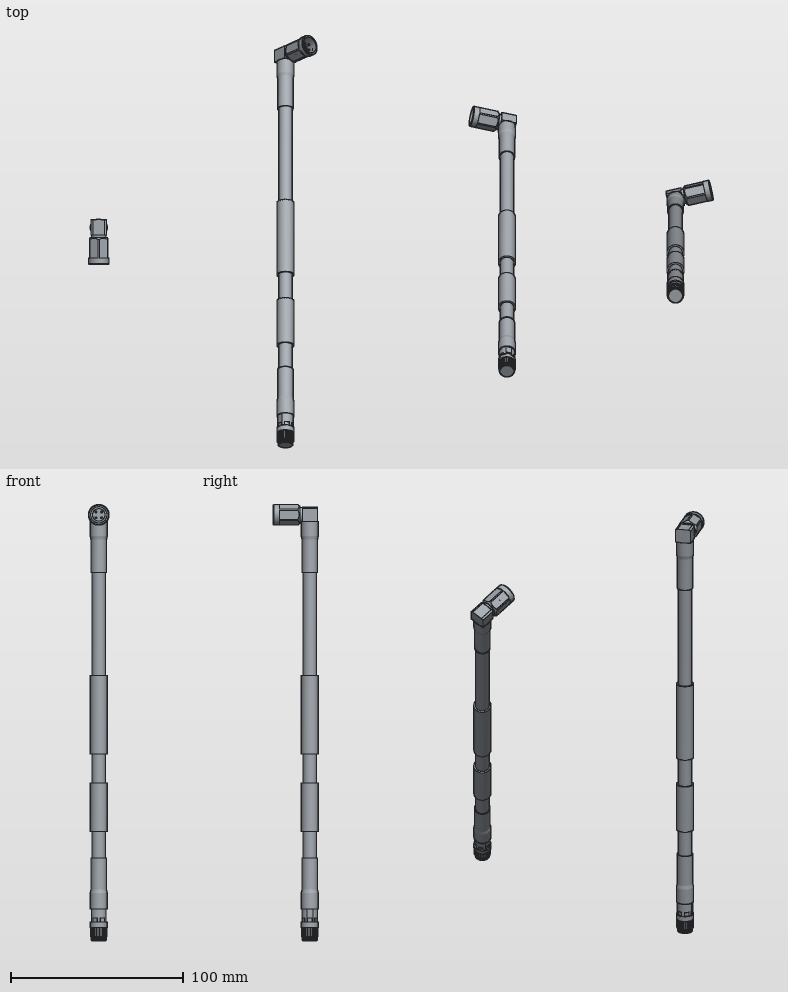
import cadquery as cq
import math

STEP_TOP = 2.6
KNURL_TOP = 7.6
RING_TOP = 10.8
POCKET_TOP = 13.1
LOWER_COLLAR_BOTTOM = 18.4
LOWER_COLLAR_TOP = 27.6
LOWER_BOOT_BOTTOM = 29.6
LOWER_BOOT_TOP = 48.0

SHORT_SLEEVE_BOTTOM = 63.2
SHORT_SLEEVE_LENGTH = 28.1
LONG_SLEEVE_BOTTOM = 107.9
LONG_SLEEVE_LENGTH = 45.6

OVERALL_HEIGHT = 252.37
NUT_DIAMETER = 12.0
NUT_AXIS_HEIGHT = OVERALL_HEIGHT - NUT_DIAMETER / 2
UPPER_BOOT_BOTTOM = 213.0
UPPER_BOOT_TOP = 232.1
UPPER_COLLAR_BOTTOM = 234.1
UPPER_COLLAR_TOP = 242.6
BLOCK_TOP = 250.8

CABLE_DIAMETER = 8.0
BOOT_DIAMETER = 9.1
COLLAR_DIAMETER = 10.0
SLEEVE_DIAMETER = 10.0

NECK_DIAMETER = 9.1
TIP_DIAMETER = 8.8
TIP_CHAMFER = 0.4
WIDTH_ACROSS_WRENCH_FLATS = 8.4
POCKET_COUNT = 6
POCKET_WIDTH = 2.7
POCKET_DEPTH = 0.5
KNURL_DIAMETER = 9.7
KNURL_COUNT = 16
KNURL_WIDTH = 0.9
KNURL_DEPTH = 0.5
TIP_GROOVE_WIDTH = 0.4
TIP_GROOVE_DEPTH = 0.4
TIP_GROOVE_HEIGHTS = (0.9, 1.8)

BLOCK_WIDTH = 9.1
BLOCK_CHAMFER_WIDTH = 1.2
BLOCK_CHAMFER_HEIGHT = 0.7
BLOCK_FRONT = 4.2
OVERALL_DEPTH = 26.23
NUT_FRONT = OVERALL_DEPTH - SLEEVE_DIAMETER / 2
NUT_BACK = 5.6
NUT_BACK_CHAMFER = 1.2
NUT_FRONT_CHAMFER = 0.4
NUT_RING_LENGTH = 3.6
HEX_ACROSS_FLATS = 10.8
NUT_NECK_DIAMETER = 8.6
NUT_BORE_DIAMETER = 9.4
NUT_BORE_DEPTH = 9.0
INSERT_DIAMETER = 7.2
INSERT_LENGTH = 2.5
PIN_COUNT = 4
PIN_CIRCLE_DIAMETER = 4.6
PIN_DIAMETER = 1.0
PIN_LENGTH = 4.0
PIN_START_ANGLE = 45


def cylinder(diameter, bottom, top):
    """Cylinder on the Z axis between two heights."""
    return cq.Workplane("XY").workplane(offset=bottom).circle(diameter / 2).extrude(top - bottom)


def cone(bottom_diameter, top_diameter, bottom, top):
    """Tapered shoulder on the Z axis between two heights."""
    return cq.Workplane(
        cq.Solid.makeCone(bottom_diameter / 2, top_diameter / 2, top - bottom, cq.Vector(0, 0, bottom))
    )


def front_workplane(distance):
    """Plane across the nut axis, facing -Y, at a distance in front of the cable axis."""
    return cq.Workplane("XZ", origin=(0, -distance, NUT_AXIS_HEIGHT))


def ring_cutters(count, radius, depth, width, bottom, top):
    """Boxes spaced evenly round the Z axis that cut inwards from a radius."""
    cutters = []
    for index in range(count):
        cutter = (
            cq.Workplane("XY")
            .box(2 * depth, width, top - bottom, centered=(True, True, False))
            .translate((radius, 0, bottom))
            .rotate((0, 0, 0), (0, 0, 1), index * 360 / count)
        )
        cutters.append(cutter)
    return cutters


def make_cable():
    return cylinder(CABLE_DIAMETER, LOWER_BOOT_TOP, UPPER_BOOT_BOTTOM)


def make_sleeve(bottom, length):
    return (
        cq.Workplane("XY")
        .workplane(offset=bottom)
        .circle(SLEEVE_DIAMETER / 2)
        .circle(CABLE_DIAMETER / 2)
        .extrude(length)
    )


def make_straight_neck():
    """Neck below the collar, with two wrench flats and a row of small pockets."""
    neck = cylinder(NECK_DIAMETER, RING_TOP, LOWER_COLLAR_BOTTOM)
    flats = (
        cq.Workplane("XY")
        .workplane(offset=RING_TOP)
        .rect(WIDTH_ACROSS_WRENCH_FLATS, NECK_DIAMETER)
        .extrude(LOWER_COLLAR_BOTTOM - RING_TOP)
    )
    pockets = ring_cutters(
        POCKET_COUNT, NECK_DIAMETER / 2, POCKET_DEPTH, POCKET_WIDTH, RING_TOP, POCKET_TOP
    )
    neck = neck.intersect(flats)
    for pocket in pockets:
        neck = neck.cut(pocket)
    return neck


def make_knurled_ring():
    """Coupling ring: plain band on top, axial grooves below."""
    ring = cylinder(KNURL_DIAMETER, STEP_TOP, KNURL_TOP).union(
        cylinder(COLLAR_DIAMETER, KNURL_TOP, RING_TOP)
    )
    grooves = ring_cutters(
        KNURL_COUNT, KNURL_DIAMETER / 2, KNURL_DEPTH, KNURL_WIDTH, STEP_TOP, KNURL_TOP
    )
    for groove in grooves:
        ring = ring.cut(groove)
    return ring


def make_tip():
    """Grooved end of the straight connector."""
    tip = cylinder(TIP_DIAMETER, 0, STEP_TOP).faces("<Z").edges().chamfer(TIP_CHAMFER)
    for height in TIP_GROOVE_HEIGHTS:
        groove = cylinder(TIP_DIAMETER, height, height + TIP_GROOVE_WIDTH).cut(
            cylinder(TIP_DIAMETER - 2 * TIP_GROOVE_DEPTH, height, height + TIP_GROOVE_WIDTH)
        )
        tip = tip.cut(groove)
    return tip


def make_straight_connector():
    return (
        cylinder(BOOT_DIAMETER, LOWER_BOOT_BOTTOM, LOWER_BOOT_TOP)
        .union(cone(COLLAR_DIAMETER, BOOT_DIAMETER, LOWER_COLLAR_TOP, LOWER_BOOT_BOTTOM))
        .union(cylinder(COLLAR_DIAMETER, LOWER_COLLAR_BOTTOM, LOWER_COLLAR_TOP))
        .union(make_straight_neck())
        .union(make_knurled_ring())
        .union(make_tip())
    )


def make_elbow_block():
    """Block whose two upper side edges are chamfered, drawn as an outline across Y."""
    half_width = BLOCK_WIDTH / 2
    half_top = half_width - BLOCK_CHAMFER_WIDTH
    chamfer_bottom = BLOCK_TOP - BLOCK_CHAMFER_HEIGHT
    return (
        cq.Workplane("XZ", origin=(0, BLOCK_WIDTH / 2, 0))
        .moveTo(-half_width, UPPER_COLLAR_TOP)
        .lineTo(half_width, UPPER_COLLAR_TOP)
        .lineTo(half_width, chamfer_bottom)
        .lineTo(half_top, BLOCK_TOP)
        .lineTo(-half_top, BLOCK_TOP)
        .lineTo(-half_width, chamfer_bottom)
        .close()
        .extrude(BLOCK_WIDTH / 2 + BLOCK_FRONT)
    )


def make_nut():
    """Screw nut: hexagon with rounded corners, then a round ring around the open front."""
    length = NUT_FRONT - NUT_BACK
    envelope = front_workplane(NUT_BACK).circle(NUT_DIAMETER / 2).extrude(length)
    envelope = envelope.faces(">Y").edges().chamfer(NUT_BACK_CHAMFER)
    across_corners = HEX_ACROSS_FLATS / math.cos(math.pi / 6)
    hexagon = (
        front_workplane(NUT_BACK)
        .transformed(rotate=(0, 0, 90))
        .polygon(6, across_corners)
        .extrude(length - NUT_RING_LENGTH)
    )
    ring = front_workplane(NUT_FRONT - NUT_RING_LENGTH).circle(NUT_DIAMETER / 2).extrude(NUT_RING_LENGTH)
    ring = ring.faces("<Y").edges().chamfer(NUT_FRONT_CHAMFER)
    bore = front_workplane(NUT_FRONT - NUT_BORE_DEPTH).circle(NUT_BORE_DIAMETER / 2).extrude(NUT_BORE_DEPTH)
    return envelope.intersect(hexagon).union(ring).cut(bore)


def make_contact_insert():
    """Round insert on the floor of the nut bore, carrying the contact pins."""
    insert_back = NUT_FRONT - NUT_BORE_DEPTH
    insert = front_workplane(insert_back).circle(INSERT_DIAMETER / 2).extrude(INSERT_LENGTH)
    pins = (
        front_workplane(insert_back + INSERT_LENGTH)
        .polarArray(PIN_CIRCLE_DIAMETER / 2, PIN_START_ANGLE, 360, PIN_COUNT)
        .circle(PIN_DIAMETER / 2)
        .extrude(PIN_LENGTH)
    )
    return insert.union(pins)


def make_angled_connector():
    nut_neck = front_workplane(0).circle(NUT_NECK_DIAMETER / 2).extrude(NUT_BACK)
    return (
        cylinder(BOOT_DIAMETER, UPPER_BOOT_BOTTOM, UPPER_BOOT_TOP)
        .union(cone(BOOT_DIAMETER, COLLAR_DIAMETER, UPPER_BOOT_TOP, UPPER_COLLAR_BOTTOM))
        .union(cylinder(COLLAR_DIAMETER, UPPER_COLLAR_BOTTOM, UPPER_COLLAR_TOP))
        .union(make_elbow_block())
        .union(nut_neck)
        .union(make_nut())
        .union(make_contact_insert())
    )


cable = make_cable()
short_sleeve = make_sleeve(SHORT_SLEEVE_BOTTOM, SHORT_SLEEVE_LENGTH)
long_sleeve = make_sleeve(LONG_SLEEVE_BOTTOM, LONG_SLEEVE_LENGTH)
straight_connector = make_straight_connector()
angled_connector = make_angled_connector()

result = cq.Compound.makeCompound(
    [
        cable.val(),
        short_sleeve.val(),
        long_sleeve.val(),
        straight_connector.val(),
        angled_connector.val(),
    ]
)